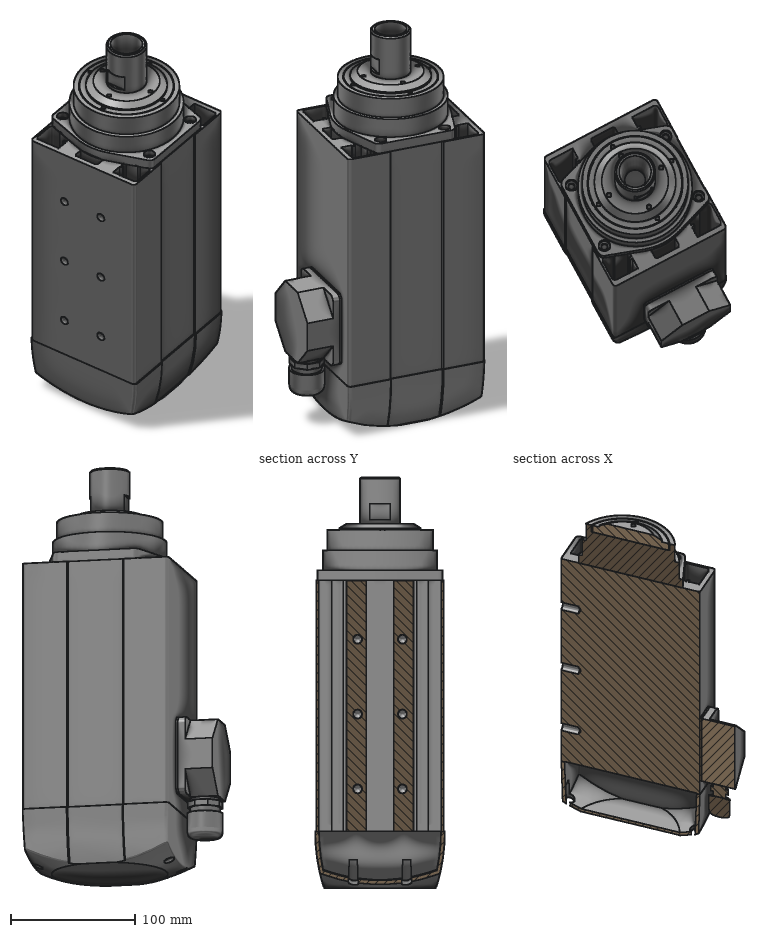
import cadquery as cq
import math

cap_top = 46.0
housing_top = 247.5
plate_top = 255.8
shoulder_top = 271.7
flange_top = 288.2
cover_rim_top = 289.5
cover_top = 293.0
shaft_top = 330.5

cap_width = 104.5
housing_width = 102.8
depth = 120.5
corner_radius = 3.0

band_depth = 0.83
band_floor_half = 22.5
band_mouth_half = 23.5

side_arc_radius = 148.7
cap_end_draft = 1.3
dome_radius = 147.0
dome_below_base = 7.5
cap_wall = 3.3
cap_edge_fillet = 2.0
cap_hole_diameter = 8.0
cap_hole_x = 21.5
cap_hole_y = 54.2

pocket_inner_x = 27.0
pocket_outer_x = 49.5
pocket_inner_y = 35.0
pocket_outer_y = 56.0
middle_pocket_fillet = 2.0
corner_pocket_fillet = 3.0
pocket_step_x = 38.7
pocket_step_y = 38.0
pocket_rib_height = 2.3
pocket_rib_bottom_y = 44.5
pocket_rib_top_y = 46.5
middle_pocket_width = 21.8
middle_pocket_inner_y = 47.5
tapped_hole_diameter = 7.0
tapped_hole_depth = 15.0
tapped_hole_spacing_x = 36.0
tapped_hole_spacing_z = 60.0
tapped_hole_middle_z = 140.0
drill_tip_angle = 118.0

plate_half_width = 50.2
plate_arc_radius = 48.5
plate_edge_angle = 18.6
plate_corner_fillet = 5.3
shoulder_radius = 46.0
nose_radius = 42.5
bolt_x = 43.0
bolt_y = 28.0
bolt_head_diameter = 9.3
bolt_head_depth = 5.0
bolt_hole_diameter = 5.3

cover_radius = 37.7
cover_clearance = 0.5
cover_depth = 6.5
cover_rim_radius = 32.7
cover_cone_top_radius = 26.8
cover_hole_circle = 23.8
cover_hole_diameter = 3.5
cover_hole_depth = 2.5
key_hole_circle = 34.5
key_hole_diameter = 3.3
key_hole_angle = 3.3

shaft_radius = 16.2
shaft_chamfer = 1.3
flat_bottom = 296.0
flat_top = 309.0
flat_half_distance = 14.0
bore_top_radius = 13.0
bore_bottom_radius = 8.3
bore_depth = 33.0

box_x = -7.0
box_size = 62.8
box_bottom = 59.0
box_middle = box_bottom + box_size / 2
gasket_thickness = 1.5
box_base_thickness = 6.0
box_outer_y = 90.5
box_base_fillet = 5.3
box_lid_chamfer = 19.2
housing_face_y = depth / 2
box_inner_y = housing_face_y + gasket_thickness
box_base_y = box_inner_y + box_base_thickness

gland_y = 77.0
gland_neck_radius = 12.2
gland_collar_height = 2.3
gland_flange_height = 5.0
gland_neck_height = 4.5
gland_flange_sides = 8
gland_flange_across_corners = 28.5
gland_nut_diameter = 28.8
gland_nut_radius = gland_nut_diameter / 2
gland_nut_height = 19.8
gland_nut_straight = 13.5
gland_nut_end_radius = 13.5
gland_nut_fillet = 4.3


def drilled(diameter, straight_depth):
    """A blind hole cutter along +Z from the origin, ending in a drill tip."""
    radius = diameter / 2
    tip = radius / math.tan(math.radians(drill_tip_angle / 2))
    return (
        cq.Workplane("XZ")
        .polyline([(0, 0), (radius, 0), (radius, straight_depth), (0, straight_depth + tip)])
        .close()
        .revolve(360, (0, 0, 0), (0, 1, 0))
    )


def side_sag(drop):
    """How far a cap side has bowed inwards at this distance below the cap's top."""
    return side_arc_radius - math.sqrt(side_arc_radius**2 - drop**2)


def cap_side_profile(inset):
    """The cap's XZ outline: both sides bow inwards toward the base."""
    half = cap_width / 2 - inset
    base_half = half - side_sag(cap_top)
    middle_half = half - side_sag(cap_top / 2)
    return (
        cq.Workplane("XZ")
        .moveTo(half, cap_top)
        .threePointArc((middle_half, cap_top / 2), (base_half, 0))
        .lineTo(-base_half, 0)
        .threePointArc((-middle_half, cap_top / 2), (-half, cap_top))
        .close()
    )


def cap_form(inset):
    """The tapered cap block above its domed underside, all walls moved in by the inset."""
    half = depth / 2 - inset
    base_half = half - cap_end_draft
    ends = (
        cq.Workplane("YZ")
        .polyline([(half, cap_top), (base_half, 0), (-base_half, 0), (-half, cap_top)])
        .close()
        .extrude(cap_width, both=True)
    )
    block = cap_side_profile(inset).extrude(depth, both=True).intersect(ends)
    block = block.edges("(not #Z) and (not |X) and (not |Y)").fillet(corner_radius - inset / 2)
    ball = cq.Workplane("YZ").sphere(dome_radius - inset)
    ball = ball.translate((0, 0, dome_radius - dome_below_base))
    floor = cq.Workplane("XY").box(cap_width, depth, cap_top, centered=(True, True, False))
    return block.intersect(ball).intersect(floor.translate((0, 0, inset)))


def band_section(side_x, z):
    """Sloped-edge section that cuts the band into a wall at +side_x, running on past the wall."""
    floor_x = side_x - band_depth
    overshoot_half = 2 * band_mouth_half - band_floor_half
    return (
        cq.Workplane("XY", origin=(0, 0, z))
        .polyline([
            (floor_x, -band_floor_half),
            (side_x + band_depth, -overshoot_half),
            (side_x + band_depth, overshoot_half),
            (floor_x, band_floor_half),
        ])
        .close()
    )


def make_rear_cap():
    cap = cap_form(0)
    cap = cap.faces("%SPHERE").edges("not <Z").fillet(cap_edge_fillet)
    half = cap_width / 2
    path = cq.Workplane("XZ").moveTo(half, cap_top)
    path = path.threePointArc((half - side_sag(cap_top / 2), cap_top / 2), (half - side_sag(cap_top), 0))
    band = band_section(half, cap_top).sweep(path)
    cap = cap.cut(band).cut(band.mirror("YZ"))
    cap = cap.cut(cap_form(cap_wall))
    holes = (
        cq.Workplane("XY")
        .rect(2 * cap_hole_x, 2 * cap_hole_y, forConstruction=True)
        .vertices()
        .circle(cap_hole_diameter / 2)
        .extrude(cap_top / 2)
    )
    return cap.cut(holes)


def corner_pocket(height):
    """Cutter for the +X +Y corner pocket, with a stepped inner corner and a small rib on its inner side."""
    rib_x = pocket_inner_x + pocket_rib_height
    pocket = (
        cq.Workplane("XY")
        .polyline([
            (pocket_outer_x, pocket_inner_y),
            (pocket_outer_x, pocket_outer_y),
            (pocket_inner_x, pocket_outer_y),
            (pocket_inner_x, pocket_rib_top_y),
            (rib_x, pocket_rib_top_y),
            (rib_x, pocket_rib_bottom_y),
            (pocket_inner_x, pocket_rib_bottom_y),
            (pocket_inner_x, pocket_step_y),
            (pocket_step_x, pocket_step_y),
            (pocket_step_x, pocket_inner_y),
        ])
        .close()
        .extrude(height)
    )
    return pocket.edges("|Z and >X").fillet(corner_pocket_fillet)


def middle_pocket(height):
    """Cutter for the pocket in the middle of the +Y wall, rounded at its outer corners."""
    length = pocket_outer_y - middle_pocket_inner_y
    middle_y = (pocket_outer_y + middle_pocket_inner_y) / 2
    pocket = cq.Workplane("XY").center(0, middle_y).rect(middle_pocket_width, length).extrude(height)
    return pocket.edges("|Z and >Y").fillet(middle_pocket_fillet)


def make_housing():
    height = housing_top - cap_top
    body = cq.Workplane("XY").box(housing_width, depth, height, centered=(True, True, False))
    body = body.edges("|Z").fillet(corner_radius)
    band = band_section(housing_width / 2, 0).extrude(height)
    body = body.cut(band).cut(band.mirror("YZ"))

    corner = corner_pocket(height)
    for pocket in (corner, corner.mirror("YZ")):
        body = body.cut(pocket).cut(pocket.mirror("XZ"))
    middle = middle_pocket(height)
    body = body.cut(middle).cut(middle.mirror("XZ"))
    body = body.translate((0, 0, cap_top))

    hole = drilled(tapped_hole_diameter, tapped_hole_depth).rotate((0, 0, 0), (1, 0, 0), -90)
    for column in (-0.5, 0.5):
        for row in (-1, 0, 1):
            x = column * tapped_hole_spacing_x
            z = tapped_hole_middle_z + row * tapped_hole_spacing_z
            body = body.cut(hole.translate((x, -depth / 2, z)))
    return body


def make_flange():
    angle = math.radians(plate_edge_angle)
    tangent_x = plate_arc_radius * math.sin(angle)
    tangent_y = plate_arc_radius * math.cos(angle)
    corner_y = (plate_arc_radius - plate_half_width * math.sin(angle)) / math.cos(angle)
    plate = (
        cq.Workplane("XY")
        .moveTo(plate_half_width, -corner_y)
        .lineTo(plate_half_width, corner_y)
        .lineTo(tangent_x, tangent_y)
        .threePointArc((0, plate_arc_radius), (-tangent_x, tangent_y))
        .lineTo(-plate_half_width, corner_y)
        .lineTo(-plate_half_width, -corner_y)
        .lineTo(-tangent_x, -tangent_y)
        .threePointArc((0, -plate_arc_radius), (tangent_x, -tangent_y))
        .close()
        .extrude(plate_top - housing_top)
        .edges("|Z and (>X or <X)")
        .fillet(plate_corner_fillet)
        .faces(">Z")
        .workplane()
        .rect(2 * bolt_x, 2 * bolt_y, forConstruction=True)
        .vertices()
        .cboreHole(bolt_hole_diameter, bolt_head_diameter, bolt_head_depth)
        .translate((0, 0, housing_top))
    )
    shoulder = cq.Workplane("XY", origin=(0, 0, plate_top)).circle(shoulder_radius)
    nose = cq.Workplane("XY", origin=(0, 0, shoulder_top)).circle(nose_radius)
    bore = cq.Workplane("XY", origin=(0, 0, housing_top)).circle(shaft_radius)
    seat = cq.Workplane("XY", origin=(0, 0, flange_top - cover_depth))
    seat = seat.circle(cover_radius + cover_clearance)
    return (
        plate.union(shoulder.extrude(shoulder_top - plate_top))
        .union(nose.extrude(flange_top - shoulder_top))
        .cut(bore.extrude(flange_top - housing_top))
        .cut(seat.extrude(cover_depth))
    )


def make_bearing_cover():
    cover = (
        cq.Workplane("XZ")
        .polyline([
            (shaft_radius, flange_top - cover_depth),
            (cover_radius, flange_top - cover_depth),
            (cover_radius, flange_top),
            (cover_rim_radius, flange_top),
            (cover_rim_radius, cover_rim_top),
            (cover_cone_top_radius, cover_top),
            (shaft_radius, cover_top),
        ])
        .close()
        .revolve(360, (0, 0, 0), (0, 1, 0))
    )
    top_holes = (
        cq.Workplane("XY", origin=(0, 0, cover_top))
        .polarArray(cover_hole_circle, 0, 360, 4)
        .circle(cover_hole_diameter / 2)
        .extrude(-cover_hole_depth)
    )
    key_holes = (
        cq.Workplane("XY", origin=(0, 0, flange_top))
        .polarArray(key_hole_circle, key_hole_angle, 360, 4)
        .circle(key_hole_diameter / 2)
        .extrude(-cover_hole_depth)
    )
    return cover.cut(top_holes).cut(key_holes)


def make_shaft():
    shaft = (
        cq.Workplane("XY", origin=(0, 0, housing_top))
        .circle(shaft_radius)
        .extrude(shaft_top - housing_top)
        .faces(">Z")
        .chamfer(shaft_chamfer)
    )
    bore = (
        cq.Workplane("XZ")
        .polyline([
            (0, shaft_top),
            (bore_top_radius, shaft_top),
            (bore_bottom_radius, shaft_top - bore_depth),
            (0, shaft_top - bore_depth),
        ])
        .close()
        .revolve(360, (0, 0, 0), (0, 1, 0))
    )
    shaft = shaft.cut(bore)
    for side in (-1, 1):
        flat = cq.Workplane("XY").box(
            2 * shaft_radius, shaft_radius, flat_top - flat_bottom, centered=(True, True, False)
        )
        flat_y = side * (flat_half_distance + shaft_radius / 2)
        shaft = shaft.cut(flat.translate((0, flat_y, flat_bottom)))
    return shaft


def box_slab(size, inner_y, outer_y):
    """A square slab centred on the terminal box, between two Y positions."""
    slab = cq.Workplane("XY").box(size, outer_y - inner_y, size)
    return slab.translate((box_x, (inner_y + outer_y) / 2, box_middle))


def make_gasket():
    slab = box_slab(box_size, housing_face_y, box_inner_y)
    return slab.edges("|Y").fillet(box_base_fillet)


def make_terminal_box():
    base = box_slab(box_size, box_inner_y, box_base_y).edges("|Y").fillet(box_base_fillet)
    lid = box_slab(box_size, box_base_y, box_outer_y).edges("|Y").chamfer(box_lid_chamfer)
    return base.union(lid)


gland_flange_top = box_bottom - gland_collar_height
gland_flange_bottom = gland_flange_top - gland_flange_height
gland_nut_top = gland_flange_bottom - gland_neck_height


def make_gland_body():
    neck = cq.Workplane("XY", origin=(box_x, gland_y, gland_nut_top))
    neck = neck.circle(gland_neck_radius).extrude(box_bottom - gland_nut_top)
    flange = (
        cq.Workplane("XY")
        .polygon(gland_flange_sides, gland_flange_across_corners)
        .extrude(gland_flange_height)
        .rotate((0, 0, 0), (0, 0, 1), 180 / gland_flange_sides)
        .translate((box_x, gland_y, gland_flange_bottom))
    )
    return neck.union(flange)


def make_gland_nut():
    return (
        cq.Workplane("XZ")
        .polyline([
            (0, 0),
            (gland_nut_radius, 0),
            (gland_nut_radius, -gland_nut_straight),
            (gland_nut_end_radius, -gland_nut_height),
            (0, -gland_nut_height),
        ])
        .close()
        .revolve(360, (0, 0, 0), (0, 1, 0))
        .faces("<Z")
        .edges()
        .fillet(gland_nut_fillet)
        .translate((box_x, gland_y, gland_nut_top))
    )


rear_cap = make_rear_cap()
housing = make_housing()
flange = make_flange()
bearing_cover = make_bearing_cover()
shaft = make_shaft()
gasket = make_gasket()
terminal_box = make_terminal_box()
gland_body = make_gland_body()
gland_nut = make_gland_nut()

result = cq.Compound.makeCompound([
    rear_cap.val(),
    housing.val(),
    flange.val(),
    bearing_cover.val(),
    shaft.val(),
    gasket.val(),
    terminal_box.val(),
    gland_body.val(),
    gland_nut.val(),
])